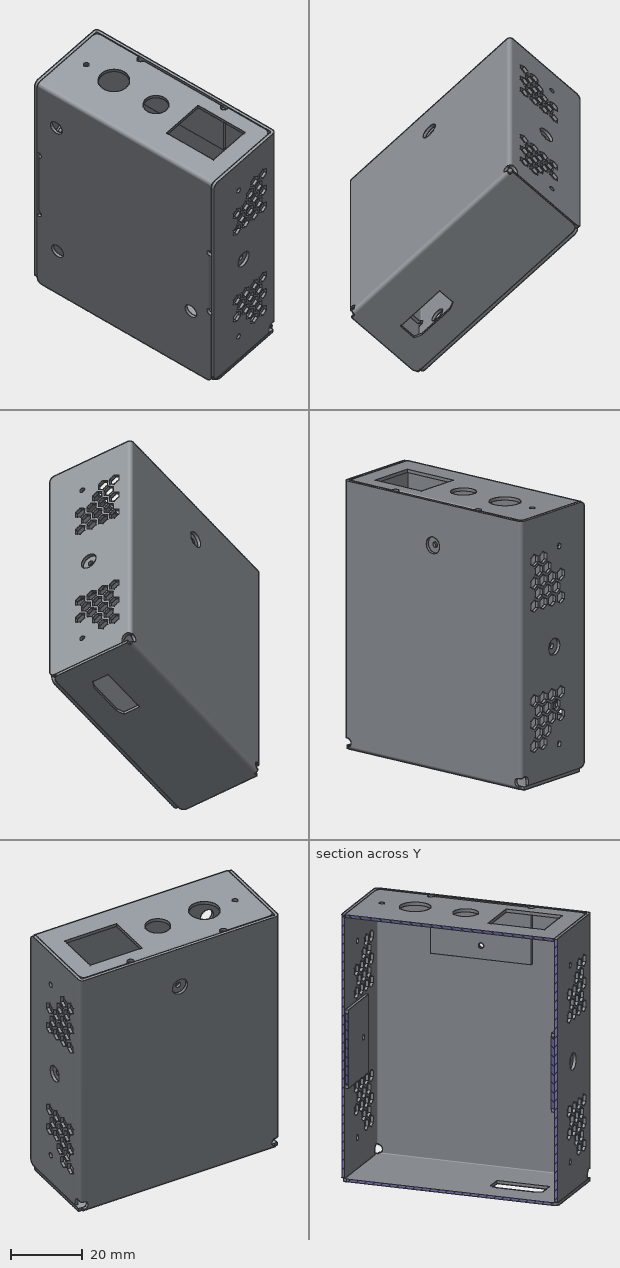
import cadquery as cq
import math

WIDTH = 64.4
DEPTH = 27.4
HEIGHT = 78.2

SHEET = 0.9
BEND_INSIDE = 0.2
BEND_OUTSIDE = SHEET + BEND_INSIDE
SIDE_GAP = 0.04
REAR_GAP = 0.2
FREE_CORNER = 1.7
CUT = 3 * SHEET

LEFT = -WIDTH / 2
FRONT = -DEPTH / 2
BACK = DEPTH / 2

COVER_WIDTH = WIDTH - 2 * (SHEET + SIDE_GAP)
COVER_LEFT = -COVER_WIDTH / 2
COVER_DEPTH = DEPTH - SHEET - REAR_GAP
COVER_REAR = FRONT + COVER_DEPTH
REAR_TAB_FACE = BACK - SHEET - SIDE_GAP

SIDE_RELIEF_RADIUS = 1.5
SIDE_RELIEF_INSET = 1.5
SIDE_RELIEF_Z = 2.35
BACK_RELIEF_RADIUS = 1.25
BACK_RELIEF_Z = SHEET + BACK_RELIEF_RADIUS
BACK_RELIEF_TOP = BACK_RELIEF_Z + BACK_RELIEF_RADIUS

WALL_MID_Z = 38.8
VENT_FLATS = 3.05
VENT_PITCH = 3.8
VENT_ROW_PITCH = VENT_PITCH * math.sin(math.radians(60))
VENT_ROW_COUNTS = [4, 3, 4, 2, 2]
VENT_FIRST_ROW = 13.75
VENT_FIRST_Y = 8.05
SIDE_HOLE_Y = -2.7
SIDE_HOLE_OFFSET = 28.8
SMALL_HOLE_DIAMETER = 1.6

TAB_ROOT = BEND_OUTSIDE + SHEET
TAB_END_MARGIN = 3.9
HEAD_HOLE_DIAMETER = 4.85
SIDE_SCREW_INSET = 13.1
REAR_SCREW_INSET = 12.8
SIDE_TAB_WIDTH = 23.0
SIDE_TAB_SCREW_Y = FRONT + SIDE_SCREW_INSET
REAR_TAB_WIDTH = 30.0
REAR_TAB_SCREW_Z = HEIGHT - REAR_SCREW_INSET
TAB_RELIEF_RADIUS = 1.0
TAB_RELIEF_INSET = 0.5

PORT_CENTER_X = 16.8
PORT_WIDTH = 15.6
PORT_FLAT_WIDTH = 11.25
PORT_REAR_Y = 0.85
PORT_SHOULDER_Y = -4.4
PORT_FRONT_Y = -5.3

FRONT_HOLE_DIAMETER = 4.2
FRONT_HOLES = [(-24.4, 65.1), (-23.9, 16.8), (23.9, 23.3)]

TOP_ROW_Y = 0.85
TOP_HOLES = [(-25.4, SMALL_HOLE_DIAMETER), (-15.5, 8.8), (-0.4, 7.2)]
WINDOW_X = 17.35
WINDOW_Y = 1.0
WINDOW_WIDTH = 16.8
WINDOW_DEPTH = 14.0


def box(x0, x1, y0, y1, z0, z1):
    """Block between two opposite corners."""
    return cq.Workplane("XY").box(x1 - x0, y1 - y0, z1 - z0, centered=False).translate((x0, y0, z0))


def hole(diameter, axis, length, center):
    """Round cutter of a given length centred on a point."""
    plane = {"x": "YZ", "y": "XZ", "z": "XY"}[axis]
    return cq.Workplane(plane).circle(diameter / 2).extrude(length / 2, both=True).translate(center)


def mirror_x(shape):
    """The same shape on the other side, x to -x."""
    return shape.mirror("YZ")


def bent_strip(plane, leg_u, leg_v, width):
    """L-bent sheet: outer corner on the plane's origin, legs along its axes, centred in width."""
    return (
        cq.Workplane(plane)
        .moveTo(leg_u, 0)
        .lineTo(BEND_OUTSIDE, 0)
        .radiusArc((0, BEND_OUTSIDE), BEND_OUTSIDE)
        .lineTo(0, leg_v)
        .lineTo(SHEET, leg_v)
        .lineTo(SHEET, BEND_OUTSIDE)
        .radiusArc((BEND_OUTSIDE, SHEET), -BEND_INSIDE)
        .lineTo(leg_u, SHEET)
        .close()
        .extrude(width / 2, both=True)
    )



def side_relief():
    """Slot with a round top at the lower rear corner of the left wall."""
    center_y = BACK - SIDE_RELIEF_INSET
    slot = box(
        LEFT, LEFT + BEND_OUTSIDE,
        center_y - SIDE_RELIEF_RADIUS, BACK,
        SHEET, SIDE_RELIEF_Z,
    )
    round_top = hole(2 * SIDE_RELIEF_RADIUS, "x", 2 * BEND_OUTSIDE, (LEFT, center_y, SIDE_RELIEF_Z))
    above_bottom = box(LEFT, 0, FRONT, BACK, SHEET, HEIGHT)
    return slot.union(round_top).intersect(above_bottom)


def back_relief():
    """Round-ended notch at the lower left corner of the back wall."""
    center_x = LEFT + BEND_OUTSIDE
    notch = box(
        LEFT, center_x,
        BACK - BEND_OUTSIDE, BACK,
        0, BACK_RELIEF_TOP,
    )
    round_end = hole(2 * BACK_RELIEF_RADIUS, "y", 2 * BEND_OUTSIDE, (center_x, BACK, BACK_RELIEF_Z))
    return notch.union(round_end)


def tray_shell():
    """Back wall with two side walls and a bottom flange, all bent from one sheet."""
    wall_bottom = SHEET + SIDE_GAP
    walls = (
        box(LEFT, -LEFT, FRONT, BACK, wall_bottom, HEIGHT)
        .edges("|Z and >Y").fillet(BEND_OUTSIDE)
        .edges("|X and <Y").fillet(FREE_CORNER)
    )
    inside = (
        box(LEFT + SHEET, -LEFT - SHEET, FRONT, BACK - SHEET, 0, HEIGHT)
        .edges("|Z and >Y").fillet(BEND_INSIDE)
    )
    walls = walls.cut(inside)

    walls = walls.cut(box(LEFT, -LEFT, BACK - BEND_OUTSIDE, BACK, 0, BEND_OUTSIDE))
    bend_plane = cq.Plane(origin=(0, BACK, 0), xDir=(0, -1, 0), normal=(-1, 0, 0))
    bottom_depth = DEPTH - SHEET - SIDE_GAP
    lip_height = BEND_OUTSIDE + SHEET
    bottom = bent_strip(bend_plane, bottom_depth, lip_height, WIDTH)
    bottom = bottom.edges("|Z and <Y").fillet(FREE_CORNER)

    shell = walls.union(bottom)
    for relief in (side_relief(), back_relief()):
        shell = shell.cut(relief).cut(mirror_x(relief))
    return shell


def vent_cutter():
    """Hexagon bars through both side walls, in two mirrored groups."""
    corner_diameter = VENT_FLATS / math.cos(math.radians(30))
    points = []
    for row, count in enumerate(VENT_ROW_COUNTS):
        stagger = (row % 2) * VENT_PITCH / 2
        offset = VENT_FIRST_ROW + row * VENT_ROW_PITCH
        for column in range(count):
            y = VENT_FIRST_Y - stagger - column * VENT_PITCH
            points += [(y, WALL_MID_Z + offset), (y, WALL_MID_Z - offset)]
    hexagon = cq.Sketch().regularPolygon(corner_diameter / 2, 6, angle=0)
    return cq.Workplane("YZ").pushPoints(points).placeSketch(hexagon).extrude(WIDTH, both=True)


def port_cutter():
    """Connector opening through the bottom flange."""
    half = PORT_WIDTH / 2
    half_flat = PORT_FLAT_WIDTH / 2
    outline = [
        (-half, PORT_REAR_Y), (half, PORT_REAR_Y), (half, PORT_SHOULDER_Y),
        (half_flat, PORT_FRONT_Y), (-half_flat, PORT_FRONT_Y), (-half, PORT_SHOULDER_Y),
    ]
    return cq.Workplane("XY").polyline(outline).close().extrude(SHEET).translate((PORT_CENTER_X, 0, 0))


def make_tray():
    tray = tray_shell().cut(vent_cutter()).cut(port_cutter())
    for side in (-1, 1):
        z = WALL_MID_Z + side * SIDE_HOLE_OFFSET
        tray = tray.cut(hole(SMALL_HOLE_DIAMETER, "x", 2 * WIDTH, (0, SIDE_HOLE_Y, z)))
    tray = tray.cut(hole(HEAD_HOLE_DIAMETER, "x", 2 * WIDTH, (0, SIDE_TAB_SCREW_Y, WALL_MID_Z)))
    return tray.cut(hole(HEAD_HOLE_DIAMETER, "y", CUT, (0, BACK, REAR_TAB_SCREW_Z)))



def cover_shell():
    """Front panel and top panel bent from one sheet, with rounded free corners."""
    plane = cq.Plane(origin=(0, FRONT, HEIGHT), xDir=(0, 1, 0), normal=(-1, 0, 0))
    return (
        bent_strip(plane, COVER_DEPTH, HEIGHT, COVER_WIDTH)
        .edges("|Y and <Z").fillet(FREE_CORNER)
        .edges("|Z and >Y").fillet(FREE_CORNER)
    )


def add_side_tab(cover):
    """Screw tab bent back from the left edge of the front panel, with a round relief at each end."""
    bend_end = COVER_LEFT + BEND_OUTSIDE
    cover = cover.cut(box(
        COVER_LEFT, bend_end, FRONT, FRONT + SHEET,
        WALL_MID_Z - SIDE_TAB_WIDTH / 2, WALL_MID_Z + SIDE_TAB_WIDTH / 2,
    ))
    plane = cq.Plane(origin=(COVER_LEFT, FRONT, WALL_MID_Z), xDir=(1, 0, 0), normal=(0, 0, 1))
    tab = bent_strip(plane, TAB_ROOT, SIDE_SCREW_INSET + TAB_END_MARGIN, SIDE_TAB_WIDTH)
    screw = (COVER_LEFT, SIDE_TAB_SCREW_Y, WALL_MID_Z)
    cover = cover.union(tab.cut(hole(SMALL_HOLE_DIAMETER, "x", CUT, screw)))
    for side in (-1, 1):
        center = (COVER_LEFT + TAB_RELIEF_INSET, FRONT, WALL_MID_Z + side * SIDE_TAB_WIDTH / 2)
        cover = cover.cut(hole(2 * TAB_RELIEF_RADIUS, "y", 2 * BEND_OUTSIDE, center))
    return cover


def add_rear_tab(cover):
    """Screw tab bent down from the rear edge of the top panel, with a round relief at each end."""
    bend_end = REAR_TAB_FACE - BEND_OUTSIDE
    cover = cover.cut(box(
        -REAR_TAB_WIDTH / 2, REAR_TAB_WIDTH / 2, bend_end, COVER_REAR, HEIGHT - SHEET, HEIGHT,
    ))
    plane = cq.Plane(origin=(0, REAR_TAB_FACE, HEIGHT), xDir=(0, -1, 0), normal=(1, 0, 0))
    tab = bent_strip(plane, TAB_ROOT, REAR_SCREW_INSET + TAB_END_MARGIN, REAR_TAB_WIDTH)
    screw = (0, REAR_TAB_FACE, REAR_TAB_SCREW_Z)
    cover = cover.union(tab.cut(hole(SMALL_HOLE_DIAMETER, "y", CUT, screw)))
    for side in (-1, 1):
        center = (side * REAR_TAB_WIDTH / 2, COVER_REAR - TAB_RELIEF_INSET, HEIGHT)
        cover = cover.cut(hole(2 * TAB_RELIEF_RADIUS, "z", 2 * BEND_OUTSIDE, center))
    return cover


def make_cover():
    cover = add_rear_tab(cover_shell())
    cover = mirror_x(add_side_tab(mirror_x(add_side_tab(cover))))
    for x, z in FRONT_HOLES:
        cover = cover.cut(hole(FRONT_HOLE_DIAMETER, "y", CUT, (x, FRONT, z)))
    for x, diameter in TOP_HOLES:
        cover = cover.cut(hole(diameter, "z", CUT, (x, TOP_ROW_Y, HEIGHT)))
    window = cq.Workplane("XY").box(WINDOW_WIDTH, WINDOW_DEPTH, CUT)
    return cover.cut(window.translate((WINDOW_X, WINDOW_Y, HEIGHT)))


tray = make_tray()
cover = make_cover()
result = cq.Compound.makeCompound([tray.val(), cover.val()])